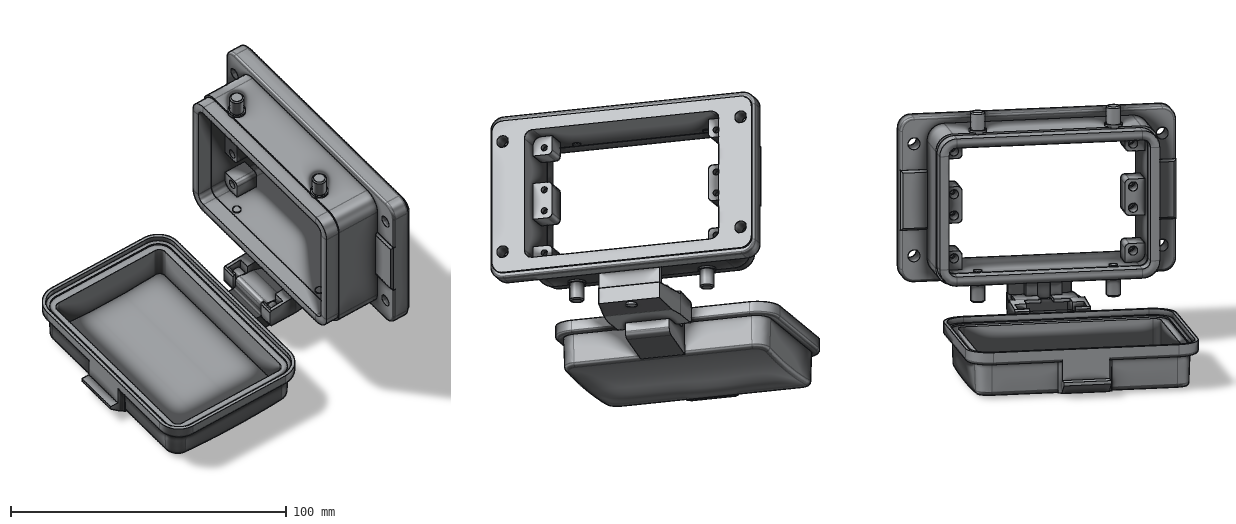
import cadquery as cq


OVERLAP = 0.5

flange_width = 102.0
flange_height = 61.5
flange_front_y = -7.7
flange_corner_radius = 5.0
flange_edge_radius = 0.8
back_lip_depth = 0.9
back_lip_inset_x = 0.9
back_lip_inset_z = 2.0
screw_hole_diameter = 4.4
screw_hole_x = 45.9
screw_hole_z = 20.9

pad_thickness = 0.9
pad_front_y = flange_front_y - pad_thickness
pad_height = 22.4
pad_inner_x = 39.8

body_width = 82.3
body_height = 56.3
body_front_y = -25.1
body_corner_radius = 6.3
rim_front_y = -30.8
rim_step = 0.4
rim_dome = 0.3
rim_lip = 0.2
opening_width = 74.9
opening_height = 48.6
opening_corner_radius = 3.1

boss_back_y = -9.4
boss_front_y = -18.3
boss_reach = 7.3
boss_corner_radius = 1.7
boss_hole_inset = 4.3
boss_hole_diameter = 2.3
boss_bore_diameter = 3.3
boss_bore_depth = 6.3
corner_boss_depth = 7.0
corner_boss_hole_z = 20.0
middle_boss_height = 13.6
middle_boss_hole_z = 4.0

peg_x = 25.1
peg_y = -22.2
peg_radius = 2.6
peg_tip_z = 35.5
peg_tip_chamfer = 0.5
stem_radius = 1.6
stem_protrusion = 0.4
stem_end_z = opening_height / 2 - stem_protrusion
collar_radius = 3.2
collar_top_z = 28.9

neck_back_y = -8.5
neck_straight_y = -10.7
neck_taper_y = -15.0
neck_front_y = -19.3
neck_wide_x = 11.7
neck_narrow_x = 6.7
neck_groove_x = 2.4
neck_groove_depth = 1.0

housing_back_y = -8.1
housing_shoulder_y = -24.4
housing_front_y = -36.3
housing_half_width = 14.0
housing_back_half_width = 11.7
housing_low_top_z = -36.0
housing_high_top_z = -35.0
housing_bottom_z = -43.8
housing_back_bottom_z = -42.0
housing_flat_bottom_y = -17.8
housing_edge_chamfer = 0.6
pocket_half_width = 12.8
pocket_back_y = -29.7
mouth_back_y = -25.5
plate_back_y = -16.2
plate_bottom_z = -36.2
hollow_back_y = -19.9
pin_radius = 2.2
pin_y = -31.7
pin_z = -40.7
pocket_floor_z = -42.4
pocket_front_wall = 1.3
nub_radius = 2.1
nub_y = -10.9
nub_bottom_z = -43.0

arm_half_width = 8.5
knuckle_front_y = -35.2
knuckle_top_z = -37.7
knuckle_crease_y = -26.9
knuckle_crease_z = -38.9
knuckle_back_z = -41.4
knuckle_radius = 1.6
knuckle_root_radius = 1.3
arm_back_y = -27.9
arm_top_z = -43.0
arm_back_bottom_z = -49.2
arm_corner_radius = 2.6
arm_root_radius = 0.8

lid_back_y = -42.3
lid_front_y = -101.4
lid_width = 86.0
lid_top_z = -36.0
lid_rim_bottom_z = -40.7
lid_corner_radius = 8.7
lid_rim_edge_radius = 0.9
seat_inset = 1.3
seat_depth = 2.1
groove_inset = 2.7
groove_depth = 2.7
shell_width = 79.7
shell_length = 54.6
shell_corner_radius = 5.5
shell_taper = 2.0
shell_bottom_z = -54.2
shell_end_bottom_z = -52.6
shell_edge_radius = 1.6
cavity_width = 74.9
cavity_length = 48.8
cavity_corner_radius = 2.5
floor_thickness = 1.6

tab_width = 17.6
tab_root_radius = 1.2
tab_tip_y = -104.6
tab_ledge_z = -47.5
tab_tip_thickness = 1.3
tab_foot_y = -100.3

lid_length = lid_back_y - lid_front_y
lid_middle_y = (lid_back_y + lid_front_y) / 2
shell_back_y = lid_middle_y + shell_length / 2
shell_front_y = lid_middle_y - shell_length / 2


def box(x0, x1, y0, y1, z0, z1):
    """Box between opposite corners."""
    return cq.Workplane("XY").box(x1 - x0, y1 - y0, z1 - z0, centered=False).translate((x0, y0, z0))


def upright_block(width, height, radius, back_y, front_y):
    """Rounded rectangle in XZ, running from back_y to front_y."""
    block = cq.Workplane("XZ", origin=(0, back_y, 0)).rect(width, height).extrude(back_y - front_y)
    return block.edges("|Y").fillet(radius)


def lid_block(width, length, radius, top_z, bottom_z, taper=0):
    """Rounded rectangle in XY, centred on the lid and running down from top_z."""
    outline = cq.Sketch().rect(width, length).vertices().fillet(radius)
    plane = cq.Workplane("XY", origin=(0, lid_middle_y, top_z))
    return plane.placeSketch(outline).extrude(bottom_z - top_z, taper=taper)


def side_profile(points, half_width):
    """Closed (y, z) outline extruded symmetrically along X."""
    return cq.Workplane("YZ").polyline(points).close().extrude(half_width, both=True)


def holes_along_y(points, diameter, front_y, depth):
    """Round cutters at (x, z) points, running back from front_y."""
    plane = cq.Workplane("XZ", origin=(0, front_y, 0))
    return plane.pushPoints(points).circle(diameter / 2).extrude(-depth)


def make_flange():
    """Mounting plate with a raised back lip, two label pads and four screw holes."""
    flange = upright_block(
        flange_width, flange_height, flange_corner_radius, -back_lip_depth, flange_front_y
    )
    flange = flange.faces("<Y or >Y").edges().fillet(flange_edge_radius)
    lip = upright_block(
        flange_width - 2 * back_lip_inset_x,
        flange_height - 2 * back_lip_inset_z,
        flange_corner_radius - back_lip_inset_x,
        0,
        -back_lip_depth - OVERLAP,
    )
    flange = flange.union(lip)
    pad = box(
        pad_inner_x,
        flange_width / 2,
        pad_front_y,
        flange_front_y + 2 * flange_edge_radius,
        -pad_height / 2,
        pad_height / 2,
    )
    pad = pad.faces("<Y").edges("|X or >X").chamfer(flange_edge_radius)
    flange = flange.union(pad).union(pad.mirror("YZ"))
    hole_points = [(sx * screw_hole_x, sz * screw_hole_z) for sx in (-1, 1) for sz in (-1, 1)]
    return flange.cut(holes_along_y(hole_points, screw_hole_diameter, flange_front_y, -flange_front_y))


def make_body():
    """Solid body block, and the opening to cut through it and the flange."""
    body = upright_block(
        body_width, body_height, body_corner_radius, flange_front_y + OVERLAP, body_front_y
    )
    opening = upright_block(opening_width, opening_height, opening_corner_radius, 0, body_front_y)
    return body, opening


def make_rim():
    """Front rim: a wall with a gently domed front edge, swept around the opening."""
    inner_x = opening_width / 2 - rim_lip
    outer_x = body_width / 2 - rim_step
    shoulder_y = rim_front_y + rim_dome
    profile = (
        cq.Workplane("XY")
        .moveTo(inner_x, body_front_y + OVERLAP)
        .lineTo(inner_x, shoulder_y)
        .threePointArc(((inner_x + outer_x) / 2, rim_front_y), (outer_x, shoulder_y))
        .lineTo(outer_x, body_front_y + OVERLAP)
        .close()
    )
    rim_opening = upright_block(
        2 * inner_x,
        opening_height - 2 * rim_lip,
        opening_corner_radius - rim_lip,
        body_front_y,
        rim_front_y,
    )
    path = rim_opening.faces(">Y").wires()
    return profile.sweep(path)


def make_bosses():
    """Corner and middle bosses on the +X wall of the opening, with their screw holes."""
    wall_x = opening_width / 2
    tip_x = wall_x - boss_reach
    wall_z = opening_height / 2
    corner = box(
        tip_x,
        wall_x + OVERLAP,
        boss_front_y,
        boss_back_y,
        wall_z - corner_boss_depth,
        wall_z + OVERLAP,
    )
    corner = corner.edges("|Y and <X and <Z").fillet(boss_corner_radius)
    middle = box(
        tip_x,
        wall_x + OVERLAP,
        boss_front_y,
        boss_back_y,
        -middle_boss_height / 2,
        middle_boss_height / 2,
    )
    middle = middle.edges("|Y and <X").fillet(boss_corner_radius)
    bosses = middle.union(corner).union(corner.mirror("XY"))

    hole_x = wall_x - boss_hole_inset
    hole_heights = (corner_boss_hole_z, middle_boss_hole_z, -middle_boss_hole_z, -corner_boss_hole_z)
    points = [(hole_x, z) for z in hole_heights]
    depth = boss_back_y - boss_front_y
    holes = holes_along_y(points, boss_hole_diameter, boss_front_y, depth)
    bores = holes_along_y(points, boss_bore_diameter, boss_front_y, boss_bore_depth)
    return bosses.cut(holes).cut(bores)


def make_pegs():
    """Upper pair of pegs with collars; a thinner stem passes through the wall."""

    def pair(radius, bottom_z, top_z):
        plane = cq.Workplane("XY", origin=(0, 0, bottom_z))
        return plane.pushPoints([(-peg_x, peg_y), (peg_x, peg_y)]).circle(radius).extrude(top_z - bottom_z)

    seat_z = body_height / 2 - rim_step - OVERLAP
    pegs = pair(peg_radius, seat_z, peg_tip_z).faces(">Z").edges().chamfer(peg_tip_chamfer)
    pegs = pegs.union(pair(collar_radius, seat_z, collar_top_z))
    return pegs.union(pair(stem_radius, stem_end_z, seat_z + OVERLAP))


def make_neck():
    """Tapered post that carries the hinge housing, with a shallow groove down its front."""
    right_half = [
        (neck_wide_x, neck_back_y),
        (neck_wide_x, neck_straight_y),
        (neck_narrow_x, neck_taper_y),
        (neck_narrow_x, neck_front_y),
        (neck_groove_x, neck_front_y),
        (neck_groove_x, neck_front_y + neck_groove_depth),
    ]
    left_half = [(-x, y) for x, y in reversed(right_half)]
    top_z = -body_height / 2 + OVERLAP
    plane = cq.Workplane("XY", origin=(0, 0, top_z))
    return plane.polyline(right_half + left_half).close().extrude(housing_low_top_z - OVERLAP - top_z)


def make_housing():
    """Hinge housing: narrower at the back, hollow, and open to the front for the arm."""
    housing = side_profile(
        [
            (housing_back_y, housing_low_top_z),
            (plate_back_y, housing_low_top_z),
            (plate_back_y, housing_high_top_z),
            (housing_shoulder_y, housing_high_top_z),
            (housing_front_y, housing_low_top_z),
            (housing_front_y, housing_bottom_z),
            (housing_flat_bottom_y, housing_bottom_z),
            (housing_back_y, housing_back_bottom_z),
        ],
        housing_half_width,
    )
    housing = housing.faces("<Y").edges("|X").chamfer(housing_edge_chamfer)
    plan = [
        (housing_back_half_width, housing_back_y),
        (housing_half_width, housing_shoulder_y),
        (housing_half_width, housing_front_y),
        (-housing_half_width, housing_front_y),
        (-housing_half_width, housing_shoulder_y),
        (-housing_back_half_width, housing_back_y),
    ]
    plane = cq.Workplane("XY", origin=(0, 0, housing_bottom_z))
    housing = housing.intersect(plane.polyline(plan).close().extrude(housing_high_top_z - housing_bottom_z))

    pocket = box(
        -pocket_half_width,
        pocket_half_width,
        housing_front_y + pocket_front_wall,
        pocket_back_y,
        pocket_floor_z,
        housing_high_top_z,
    )
    mouth = box(
        -arm_half_width,
        arm_half_width,
        housing_front_y,
        mouth_back_y,
        arm_top_z,
        housing_high_top_z,
    )
    cheek_relief = box(
        neck_wide_x,
        housing_half_width,
        housing_shoulder_y,
        housing_back_y,
        housing_low_top_z,
        housing_high_top_z,
    )
    slot = box(
        -neck_groove_x,
        neck_groove_x,
        mouth_back_y,
        neck_front_y + neck_groove_depth,
        plate_bottom_z,
        housing_high_top_z,
    )
    hollow_under_plate = box(
        -arm_half_width,
        arm_half_width,
        mouth_back_y,
        hollow_back_y,
        arm_top_z,
        plate_bottom_z,
    )
    housing = housing.cut(pocket).cut(mouth).cut(slot).cut(hollow_under_plate)
    housing = housing.cut(cheek_relief).cut(cheek_relief.mirror("YZ"))
    nub_plane = cq.Workplane("XY", origin=(0, nub_y, nub_bottom_z))
    nub = nub_plane.circle(nub_radius).extrude(housing_low_top_z - nub_bottom_z)
    pin = cq.Workplane("YZ").center(pin_y, pin_z).circle(pin_radius).extrude(pocket_half_width, both=True)
    return housing.union(nub).union(pin)


def make_arm():
    """Knuckle inside the housing and the arm that joins it to the back of the lid."""
    arm = side_profile(
        [
            (knuckle_front_y, arm_top_z),
            (knuckle_front_y, knuckle_top_z),
            (knuckle_crease_y, knuckle_crease_z),
            (hollow_back_y - OVERLAP, knuckle_back_z),
            (hollow_back_y - OVERLAP, arm_top_z - OVERLAP),
            (arm_back_y, arm_top_z - OVERLAP),
            (arm_back_y, arm_back_bottom_z),
            (shell_back_y, shell_end_bottom_z),
            (shell_back_y - OVERLAP, shell_end_bottom_z),
            (shell_back_y - OVERLAP, lid_rim_bottom_z + OVERLAP),
            (lid_back_y, lid_rim_bottom_z + OVERLAP),
            (lid_back_y, arm_top_z),
        ],
        arm_half_width,
    )
    rounded_corners = [
        (knuckle_front_y, arm_top_z, knuckle_root_radius),
        (knuckle_front_y, knuckle_top_z, knuckle_radius),
        (arm_back_y, arm_back_bottom_z, arm_corner_radius),
        (lid_back_y, arm_top_z, arm_root_radius),
    ]
    for y, z, radius in rounded_corners:
        arm = arm.edges(cq.selectors.NearestToPointSelector((0, y, z))).fillet(radius)
    return arm


def lid_underside(lift):
    """Everything under the lid rim and above the bowed bottom, raised by `lift`."""
    end_z = shell_end_bottom_z + lift
    return (
        cq.Workplane("YZ")
        .moveTo(shell_back_y, lid_top_z)
        .lineTo(shell_back_y, end_z)
        .threePointArc((lid_middle_y, shell_bottom_z + lift), (shell_front_y, end_z))
        .lineTo(shell_front_y, lid_top_z)
        .close()
        .extrude(lid_width / 2, both=True)
    )


def make_tab():
    """Flat pad on the front of the lid with rounded roots, ending in a pointed finger ledge."""
    half = tab_width / 2
    root_y = shell_front_y + OVERLAP
    tab_top_z = lid_rim_bottom_z + lid_rim_edge_radius
    pad = (
        cq.Workplane("XY", origin=(0, 0, tab_top_z))
        .moveTo(-half, lid_front_y)
        .lineTo(half, lid_front_y)
        .lineTo(half, shell_front_y - tab_root_radius)
        .radiusArc((half + tab_root_radius, shell_front_y), tab_root_radius)
        .lineTo(half + tab_root_radius, root_y)
        .lineTo(-half - tab_root_radius, root_y)
        .lineTo(-half - tab_root_radius, shell_front_y)
        .radiusArc((-half, shell_front_y - tab_root_radius), tab_root_radius)
        .close()
        .extrude(shell_end_bottom_z - tab_top_z)
    )
    undercut_limit = side_profile(
        [
            (root_y, tab_top_z),
            (tab_tip_y, tab_top_z),
            (tab_tip_y, tab_ledge_z - tab_tip_thickness),
            (tab_foot_y, shell_end_bottom_z),
            (root_y, shell_end_bottom_z),
        ],
        half + tab_root_radius,
    )
    ledge = side_profile(
        [
            (shell_front_y, tab_ledge_z),
            (tab_tip_y, tab_ledge_z),
            (tab_tip_y, tab_ledge_z - tab_tip_thickness),
            (tab_foot_y, shell_end_bottom_z),
            (shell_front_y, shell_end_bottom_z),
        ],
        half,
    )
    return pad.intersect(undercut_limit).union(ledge)


def make_lid():
    """Solid lid: rim, tapered shell with a bowed bottom, and finger tab."""
    rim = lid_block(lid_width, lid_length, lid_corner_radius, lid_top_z, lid_rim_bottom_z)
    rim = rim.faces("<Z").edges().fillet(lid_rim_edge_radius)
    shell = lid_block(
        shell_width,
        shell_length,
        shell_corner_radius,
        lid_rim_bottom_z + OVERLAP,
        shell_bottom_z,
        shell_taper,
    )
    shell = shell.intersect(lid_underside(0))
    shell = shell.faces("<Z").edges().fillet(shell_edge_radius)
    return rim.union(shell).union(make_tab())


def make_lid_hollow():
    """Stepped seal seat around the rim and the cavity with its bowed floor."""
    cavity = lid_block(cavity_width, cavity_length, cavity_corner_radius, lid_top_z, shell_bottom_z)
    hollow = cavity.intersect(lid_underside(floor_thickness))
    for inset, depth in ((seat_inset, seat_depth), (groove_inset, groove_depth)):
        step = lid_block(
            lid_width - 2 * inset,
            lid_length - 2 * inset,
            lid_corner_radius - inset,
            lid_top_z,
            lid_top_z - depth,
        )
        hollow = hollow.union(step)
    return hollow


body, opening = make_body()
pegs = make_pegs()
bosses = make_bosses()
frame = make_flange().union(body).cut(opening).union(make_rim())
frame = frame.union(bosses).union(bosses.mirror("YZ"))
frame = frame.union(pegs).union(pegs.mirror("XY"))
hinge = make_neck().union(make_housing()).union(make_arm())
lid = make_lid()

result = frame.union(hinge).union(lid).cut(make_lid_hollow())